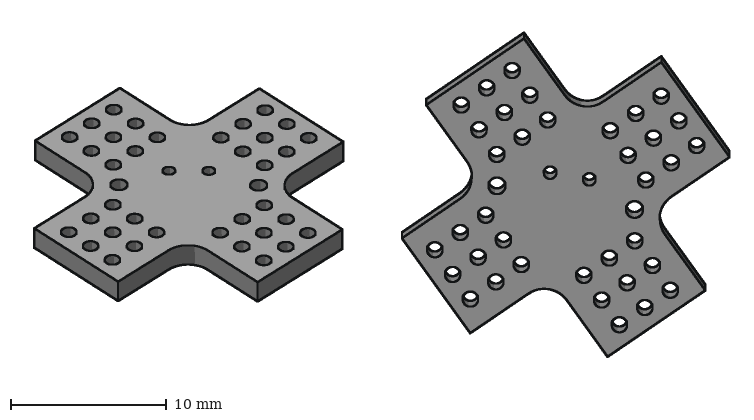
import cadquery as cq

span = 20.32
thickness = 1.6
arm_width = 7.66
inner_corner_radius = 1.77

grid_count = 3
grid_pitch = 2.0
grid_hole_diameter = 1.0
grid_center_distance = 6.87

mounting_hole_diameter = 1.1
mounting_hole_offset = 3.17

small_hole_diameter = 0.81
small_hole_far_offset = 1.93
small_hole_near_offset = 0.12


def cross_plate():
    """Two crossed bars with rounded inner corners."""
    bar_x = cq.Workplane("XY").rect(span, arm_width).extrude(thickness)
    bar_y = cq.Workplane("XY").rect(arm_width, span).extrude(thickness)
    inner_corners = cq.selectors.BoxSelector(
        (-arm_width, -arm_width, 0), (arm_width, arm_width, thickness)
    )
    return bar_x.union(bar_y).edges("|Z").edges(inner_corners).fillet(inner_corner_radius)


def through_holes(centers, diameter):
    """Cylinders that cut holes through the whole plate."""
    return cq.Workplane("XY").pushPoints(centers).circle(diameter / 2).extrude(thickness)


def arm_grid(x_direction, y_direction):
    """Hole grid on the arm that points in the given direction."""
    return (
        cq.Workplane("XY")
        .center(x_direction * grid_center_distance, y_direction * grid_center_distance)
        .rarray(grid_pitch, grid_pitch, grid_count, grid_count)
        .circle(grid_hole_diameter / 2)
        .extrude(thickness)
    )


result = cross_plate()

for x_direction, y_direction in [(1, 0), (0, 1), (-1, 0), (0, -1)]:
    result = result.cut(arm_grid(x_direction, y_direction))

mounting_centers = [
    (mounting_hole_offset, mounting_hole_offset),
    (-mounting_hole_offset, -mounting_hole_offset),
]
result = result.cut(through_holes(mounting_centers, mounting_hole_diameter))

small_centers = [
    (-small_hole_near_offset, small_hole_far_offset),
    (-small_hole_far_offset, small_hole_near_offset),
]
result = result.cut(through_holes(small_centers, small_hole_diameter))